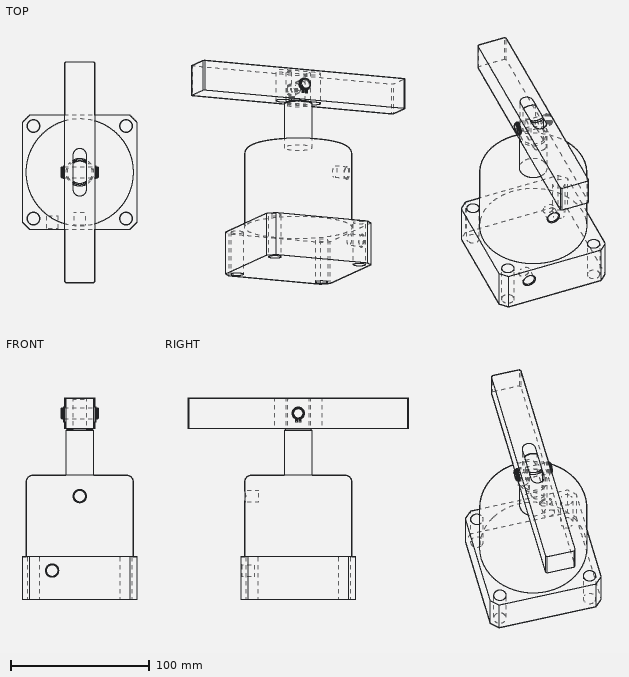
import cadquery as cq

flange_width = 83.0
flange_height = 31.0
flange_corner_chamfer = 5.3
bolt_spacing = 67.0
bolt_hole_diameter = 9.0
barrel_diameter = 77.8
barrel_top = 90.0
barrel_fillet = 5.0

port_diameter = 8.3
port_chamfer = 0.6
port_depth = 10.0
upper_port_height = 74.9
lower_port_height = 21.0
lower_port_x = -20.0

overall_height = 146.0
arm_length = 160.0
arm_width = 22.0
arm_height = 22.0
arm_end_chamfer = 1.0
slot_length = 34.5
slot_width = 9.6

rod_diameter = 20.0
rod_chamfer = 1.0
shoulder_gap = 0.5

pin_length = 27.0
pin_diameter = 8.0
pin_chamfer = 0.6
groove_diameter = 7.4
groove_width = 1.1

ring_diameter = 9.0
ring_thickness = 0.6
lug_span = 4.0
lug_reach = 6.2
ring_gap = 1.5
lug_hole_diameter = 0.6
lug_hole_drop = 4.8

arm_bottom = overall_height - arm_height
shoulder_height = arm_bottom - shoulder_gap
pin_height = arm_bottom + arm_height / 2


def cylinder_along_x(diameter, x_start, length):
    """Round bar on the pivot axis, running towards +X."""
    return (
        cq.Workplane("YZ", origin=(x_start, 0, pin_height))
        .circle(diameter / 2)
        .extrude(length)
    )


def port_bore(x, face_y, height):
    """Blind bore running from face_y towards +Y."""
    return (
        cq.Workplane("XZ", origin=(x, face_y, height))
        .circle(port_diameter / 2)
        .extrude(-port_depth)
    )


def add_port(body, x, face_y, height):
    """Cut a blind port into the -Y face of a body and chamfer its mouth."""
    bored = body.cut(port_bore(x, face_y, height))
    reach = port_diameter / 2 + port_chamfer
    mouth = cq.selectors.BoxSelector(
        (x - reach, face_y - reach, height - reach),
        (x + reach, face_y + reach, height + reach),
    )
    return bored.edges(mouth).chamfer(port_chamfer)


def make_housing():
    flange = (
        cq.Workplane("XY")
        .rect(flange_width, flange_width)
        .extrude(flange_height)
        .edges("|Z")
        .chamfer(flange_corner_chamfer)
        .faces(">Z")
        .workplane()
        .rect(bolt_spacing, bolt_spacing, forConstruction=True)
        .vertices()
        .hole(bolt_hole_diameter)
    )
    barrel = (
        cq.Workplane("XY", origin=(0, 0, flange_height))
        .circle(barrel_diameter / 2)
        .extrude(barrel_top - flange_height)
        .faces(">Z")
        .edges()
        .fillet(barrel_fillet)
    )
    body = flange.union(barrel)
    body = add_port(body, 0, -barrel_diameter / 2, upper_port_height)
    return add_port(body, lower_port_x, -flange_width / 2, lower_port_height)


def make_rod():
    """Round rod standing on the barrel, with a flat tongue above its shoulder sized to the arm slot's width."""
    shank = (
        cq.Workplane("XY", origin=(0, 0, barrel_top))
        .circle(rod_diameter / 2)
        .extrude(shoulder_height - barrel_top)
        .faces(">Z")
        .chamfer(rod_chamfer)
    )
    tongue_height = overall_height - shoulder_height
    tongue_round = (
        cq.Workplane("XY", origin=(0, 0, shoulder_height))
        .circle(rod_diameter / 2 - rod_chamfer)
        .extrude(tongue_height)
        .faces(">Z")
        .chamfer(rod_chamfer)
    )
    tongue_slab = (
        cq.Workplane("XY", origin=(0, 0, shoulder_height))
        .rect(slot_width, rod_diameter)
        .extrude(tongue_height)
    )
    pin_hole = cylinder_along_x(pin_diameter, -slot_width / 2, slot_width)
    return shank.union(tongue_round.intersect(tongue_slab)).cut(pin_hole)


def make_arm():
    bar = (
        cq.Workplane("XY", origin=(0, 0, arm_bottom))
        .rect(arm_width, arm_length)
        .extrude(arm_height)
        .edges("|Z")
        .chamfer(arm_end_chamfer)
    )
    slot = (
        cq.Workplane("XY", origin=(0, 0, arm_bottom))
        .slot2D(slot_length, slot_width, 90)
        .extrude(arm_height)
    )
    pin_hole = cylinder_along_x(pin_diameter, -arm_width / 2, arm_width)
    return bar.cut(slot).cut(pin_hole)


def span_start(side, width):
    """Lowest X of a span of this width lying against the outside of the arm on one side (-1 or +1)."""
    return min(side * arm_width / 2, side * (arm_width / 2 + width))


def make_pin():
    """Pivot pin with chamfered ends and a ring groove just outside each arm face."""
    pin = cylinder_along_x(pin_diameter, -pin_length / 2, pin_length)
    pin = pin.faces("<X or >X").chamfer(pin_chamfer)
    for side in (-1, 1):
        start = span_start(side, groove_width)
        sleeve = cylinder_along_x(pin_diameter, start, groove_width)
        core = cylinder_along_x(groove_diameter, start, groove_width)
        pin = pin.cut(sleeve.cut(core))
    return pin


def make_ring(side):
    """Open ring in a pin groove, with two drilled lugs hanging down on either side of its gap."""
    start = span_start(side, ring_thickness)
    lug_plane = cq.Workplane("YZ", origin=(start, 0, pin_height))
    band = cylinder_along_x(ring_diameter, start, ring_thickness)
    lugs = lug_plane.center(0, -lug_reach / 2).rect(lug_span, lug_reach).extrude(ring_thickness)
    gap = lug_plane.center(0, -lug_reach / 2).rect(ring_gap, lug_reach).extrude(ring_thickness)
    lug_hole_offset = (lug_span + ring_gap) / 4
    lug_holes = (
        lug_plane.pushPoints([(-lug_hole_offset, -lug_hole_drop), (lug_hole_offset, -lug_hole_drop)])
        .circle(lug_hole_diameter / 2)
        .extrude(ring_thickness)
    )
    core = cylinder_along_x(groove_diameter, start, ring_thickness)
    return band.union(lugs).cut(gap).cut(lug_holes).cut(core)


housing = make_housing()
rod = make_rod()
arm = make_arm()
pin = make_pin()
rings = [make_ring(side) for side in (-1, 1)]

result = cq.Compound.makeCompound(
    [housing.val(), rod.val(), arm.val(), pin.val(), *[ring.val() for ring in rings]]
)